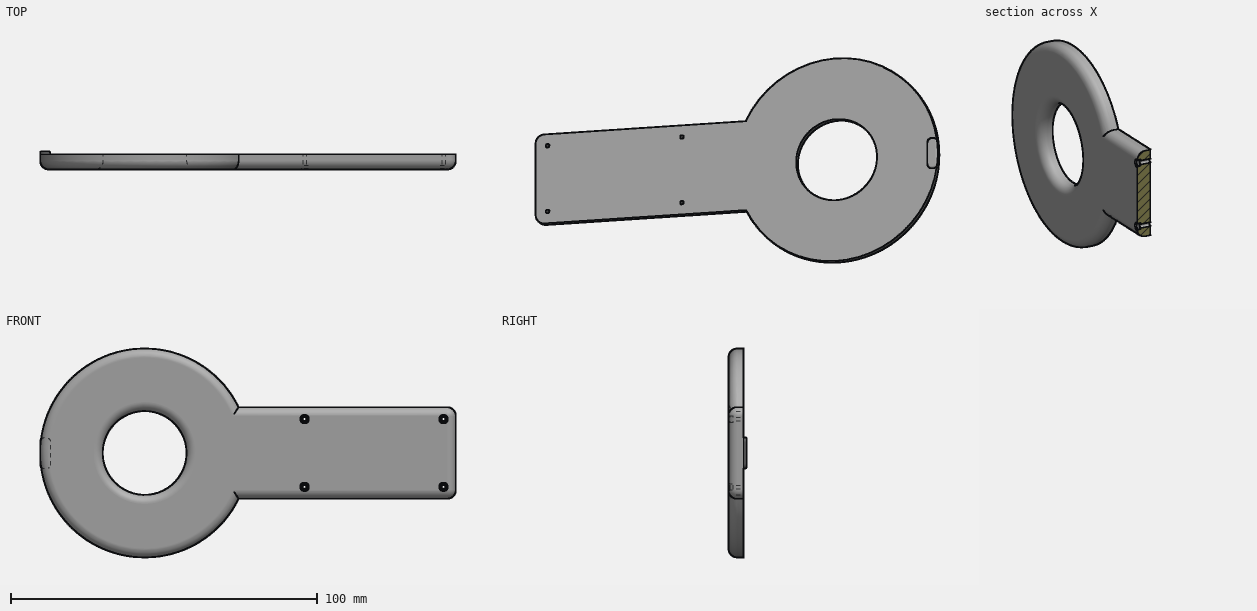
import cadquery as cq

length = 135.7
disc_diameter = 68.3
thickness = 5.0
handle_width = 30.0
edge_radius = 3.0

opening_diameter = 27.3

screw_diameter = 1.2
screw_head_diameter = 2.0
screw_head_depth = 1.4
screw_flare_diameter = 2.8
screw_flare_depth = 0.4
screw_spacing_x = 45.3
screw_spacing_z = 22.1
screw_end_distance = 4.1

tab_height = 1.0
tab_width = 3.4
tab_length = 10.2
tab_corner_radius = 1.5
tab_edge_radius = 0.5

disc_radius = disc_diameter / 2
handle_end = length - disc_radius


back_plane = cq.Workplane("XZ")


def plate():
    """Disc and handle as one flat plate with rounded handle corners and the ring opening."""
    disc = back_plane.circle(disc_radius).extrude(thickness)
    handle = (
        back_plane.center(handle_end / 2, 0)
        .rect(handle_end, handle_width)
        .extrude(thickness)
        .edges("|Y and >X")
        .fillet(edge_radius)
    )
    opening = back_plane.circle(opening_diameter / 2).extrude(thickness)
    return disc.union(handle).cut(opening)


def screw_holes():
    """Through holes with flared counterbores sunk into the front face."""
    profile = (
        cq.Workplane("XY")
        .moveTo(0, 0)
        .lineTo(screw_diameter / 2, 0)
        .lineTo(screw_diameter / 2, screw_head_depth - thickness)
        .lineTo(screw_head_diameter / 2, screw_head_depth - thickness)
        .lineTo(screw_head_diameter / 2, screw_flare_depth - thickness)
        .lineTo(screw_flare_diameter / 2, -thickness)
        .lineTo(0, -thickness)
        .close()
    )
    hole = profile.revolve(360, (0, 0, 0), (0, 1, 0))
    holes = cq.Workplane("XZ")
    for column in (0, 1):
        for side in (-1, 1):
            x = handle_end - screw_end_distance - column * screw_spacing_x
            z = side * screw_spacing_z / 2
            holes = holes.union(hole.translate((x, 0, z)))
    return holes


def tab():
    """Low block with rounded corners standing on the back face, its top edge rounded."""
    return (
        back_plane.center(tab_width / 2 - disc_radius, 0)
        .rect(tab_width, tab_length)
        .extrude(-tab_height)
        .edges("|Y")
        .fillet(tab_corner_radius)
        .faces(">Y")
        .edges()
        .fillet(tab_edge_radius)
    )


body = plate().faces("<Y").edges().fillet(edge_radius)
result = body.cut(screw_holes()).union(tab())